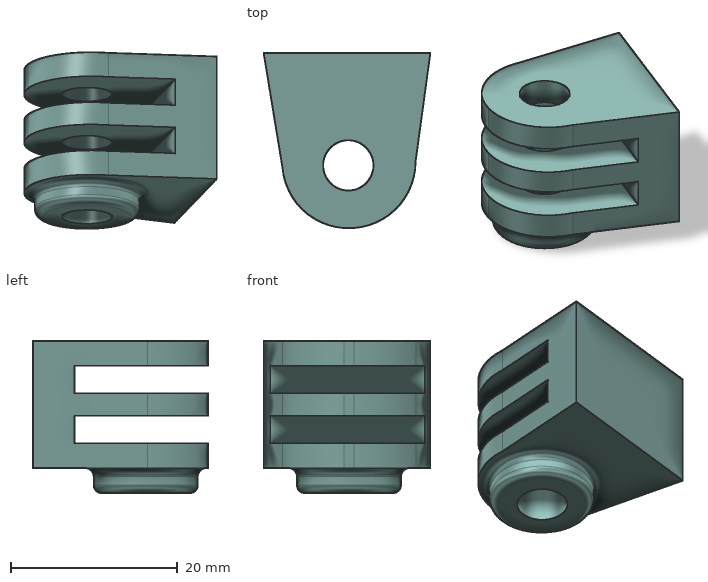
import cadquery as cq
import math

back_width = 20.0
body_length = 21.0
left_shoulder = (-7.75, -13.7)
right_shoulder = (8.23, -13.0)
nose_center_x = 0.22
nose_center_y = -13.0
nose_flat_width = 1.16

outer_fin_thickness = 3.0
slot_count = 2
middle_fin_thickness = 2.75
slot_height = 3.25
back_wall_thickness = 5.0
slot_pitch = slot_height + middle_fin_thickness
body_height = 2 * outer_fin_thickness + slot_count * slot_pitch - middle_fin_thickness

bore_center = (0.155, -13.48)
bore_diameter = 6.0
boss_center = (0.23, -13.52)
boss_diameter = 12.5
boss_height = 3.0
boss_edge_radius = 1.0

nose_radius = math.hypot(nose_flat_width / 2, body_length + nose_center_y)


def nose_point(angle_degrees):
    """Point on the nose circle; the angle is measured from +X."""
    angle = math.radians(angle_degrees)
    return (
        nose_center_x + nose_radius * math.cos(angle),
        nose_center_y + nose_radius * math.sin(angle),
    )


def make_body():
    """Tapered block with a rounded nose."""
    flat_left = (nose_center_x - nose_flat_width / 2, -body_length)
    flat_right = (nose_center_x + nose_flat_width / 2, -body_length)
    return (
        cq.Workplane("XY")
        .moveTo(-back_width / 2, 0)
        .lineTo(*left_shoulder)
        .threePointArc(nose_point(-135), flat_left)
        .lineTo(*flat_right)
        .threePointArc(nose_point(-45), right_shoulder)
        .lineTo(back_width / 2, 0)
        .close()
        .extrude(body_height)
    )


def make_slot(bottom_z):
    """Cutter for one full-width slot, open at the nose and both flanks."""
    slot_depth = body_length - back_wall_thickness
    return (
        cq.Workplane("XY")
        .box(back_width, slot_depth, slot_height, centered=(True, False, False))
        .translate((0, -body_length, bottom_z))
    )


def make_boss():
    """Turned boss with a flared root and a rounded free edge."""
    radius = boss_diameter / 2
    edge = boss_edge_radius
    arc_offset = edge * (1 - math.sqrt(0.5))
    profile = (
        cq.Workplane("XZ")
        .lineTo(radius + edge, 0)
        .threePointArc((radius + arc_offset, -arc_offset), (radius, -edge))
        .lineTo(radius, edge - boss_height)
        .threePointArc((radius - arc_offset, arc_offset - boss_height), (radius - edge, -boss_height))
        .lineTo(0, -boss_height)
        .close()
    )
    return profile.revolve(360, (0, 0, 0), (0, 1, 0)).translate((*boss_center, 0))


def make_bore():
    """Cutter for the bore through the boss and all fins."""
    return (
        cq.Workplane("XY", origin=(*bore_center, -boss_height))
        .circle(bore_diameter / 2)
        .extrude(boss_height + body_height)
    )


result = make_body().union(make_boss())
for slot_index in range(slot_count):
    slot_bottom = outer_fin_thickness + slot_index * slot_pitch
    result = result.cut(make_slot(slot_bottom))
result = result.cut(make_bore())